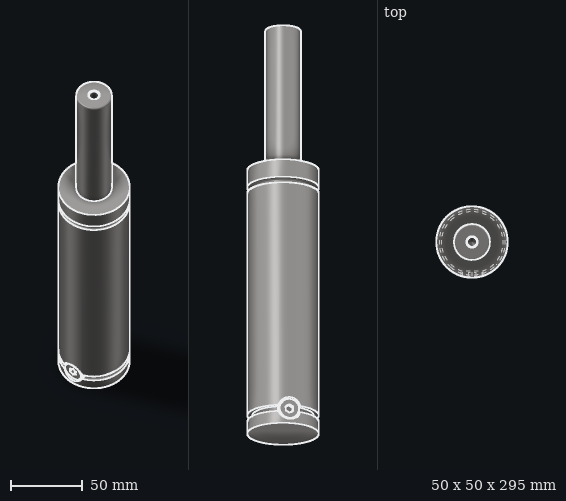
import cadquery as cq
import math

total_height = 295.0
body_diameter = 50.0
body_height = 192.5
rod_diameter = 25.0
rod_edge_fillet = 1.2

base_groove_bottom = 8.8
base_groove_top = 13.3
base_groove_depth = 3.5

upper_groove_height = 178.0
upper_groove_radius = 2.0

rod_hole_diameter = 6.8
rod_hole_mouth_diameter = 8.0
rod_hole_depth = 14.8
drill_point_angle = 118.0

plug_height = (base_groove_bottom + base_groove_top) / 2
pocket_diameter = 16.0
pocket_floor_offset = 20.0
plug_diameter = 14.0
plug_face_offset = 24.0
socket_across_flats = 5.3
socket_depth = 3.0

body_radius = body_diameter / 2
rod_radius = rod_diameter / 2


def make_cylinder_and_rod():
    """Revolve the grooved body together with its piston rod."""
    groove_floor = body_radius - base_groove_depth
    profile = (
        cq.Workplane("XZ")
        .lineTo(body_radius, 0)
        .lineTo(body_radius, base_groove_bottom)
        .lineTo(groove_floor, base_groove_bottom)
        .lineTo(groove_floor, base_groove_top)
        .lineTo(body_radius, base_groove_top)
        .lineTo(body_radius, upper_groove_height - upper_groove_radius)
        .threePointArc(
            (body_radius - upper_groove_radius, upper_groove_height),
            (body_radius, upper_groove_height + upper_groove_radius),
        )
        .lineTo(body_radius, body_height)
        .lineTo(rod_radius, body_height)
        .lineTo(rod_radius, total_height - rod_edge_fillet)
        .radiusArc((rod_radius - rod_edge_fillet, total_height), -rod_edge_fillet)
        .lineTo(0, total_height)
        .close()
    )
    return profile.revolve(360, (0, 0, 0), (0, 1, 0))


def make_rod_hole():
    """Blind hole with a countersunk mouth and a drill point."""
    hole_radius = rod_hole_diameter / 2
    mouth_radius = rod_hole_mouth_diameter / 2
    mouth_depth = mouth_radius - hole_radius
    point_depth = hole_radius / math.tan(math.radians(drill_point_angle / 2))
    floor = total_height - rod_hole_depth
    profile = (
        cq.Workplane("XZ")
        .moveTo(0, total_height)
        .lineTo(mouth_radius, total_height)
        .lineTo(hole_radius, total_height - mouth_depth)
        .lineTo(hole_radius, floor)
        .lineTo(0, floor - point_depth)
        .close()
    )
    return profile.revolve(360, (0, 0, 0), (0, 1, 0))


def plug_plane(offset):
    """Plane facing -Y, centred on the plug at the given distance from the axis."""
    return cq.Workplane("XZ", origin=(0, -offset, plug_height))


def make_plug_pocket():
    """Round pocket that clears the body around the plug."""
    pocket_depth = body_radius - pocket_floor_offset
    return plug_plane(pocket_floor_offset).circle(pocket_diameter / 2).extrude(pocket_depth)


def make_plug():
    """Plug with a hexagon socket whose corners point up and down."""
    socket_corner_diameter = socket_across_flats / math.cos(math.pi / 6)
    plug_length = plug_face_offset - pocket_floor_offset
    plug = plug_plane(pocket_floor_offset).circle(plug_diameter / 2).extrude(plug_length)
    socket = (
        plug_plane(plug_face_offset - socket_depth)
        .transformed(rotate=(0, 0, 90))
        .polygon(6, socket_corner_diameter)
        .extrude(socket_depth)
    )
    return plug.cut(socket)


result = make_cylinder_and_rod().cut(make_rod_hole()).cut(make_plug_pocket()).union(make_plug())